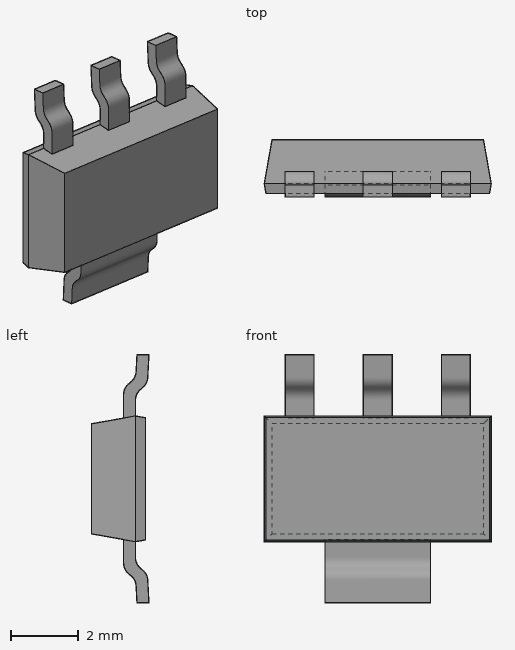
import cadquery as cq
import math

body_width = 6.7
body_height = 3.71
front_depth = 0.29
back_depth = 1.3
draft_angle = 10.0

overall_height = 7.32
strip_thickness = 0.36
strip_root_z = 1.1
bend_start_z = 2.5
bend_slope = 48.0
foot_offset = 0.35
foot_tip_offset = 0.395
bend_radius = 0.39
end_margin = 0.07

lead_width = 0.86
lead_pitch = 2.305
lead_count = 3
tab_width = 3.11


def body_half(depth, direction):
    """Tapered half of the body, growing along +Y (direction 1) or -Y (direction -1)."""
    plane = cq.Plane(origin=(0, 0, 0), xDir=(1, 0, 0), normal=(0, direction, 0))
    return cq.Workplane(plane).rect(body_width, body_height).extrude(depth, taper=draft_angle)


def mitre_offset(angle_below, angle_above):
    """Offset (Y, Z) from a front-face corner to its back-face corner; angles are from vertical."""
    half_turn = (angle_above - angle_below) / 2
    mean_angle = (angle_above + angle_below) / 2
    length = strip_thickness / math.cos(half_turn)
    return length * math.cos(mean_angle), length * math.sin(mean_angle)


def bent_strip(width):
    """Strip rising along +Z and stepping forward to a foot, centred on X = 0."""
    slope = math.radians(bend_slope)
    tip_z = overall_height / 2
    foot_start_z = bend_start_z + foot_offset / math.tan(slope)
    foot_tilt = math.atan2(foot_tip_offset - foot_offset, tip_z - foot_start_z)

    lower_y, lower_z = mitre_offset(0, slope)
    upper_y, upper_z = mitre_offset(slope, foot_tilt)
    outline = [
        (0, strip_root_z),
        (0, bend_start_z),
        (-foot_offset, foot_start_z),
        (-foot_tip_offset, tip_z),
        (-foot_tip_offset + strip_thickness / math.cos(foot_tilt), tip_z),
        (-foot_offset + upper_y, foot_start_z + upper_z),
        (lower_y, bend_start_z + lower_z),
        (strip_thickness, strip_root_z),
    ]
    strip = cq.Workplane("YZ").polyline(outline).close().extrude(width / 2, both=True)
    bends = strip.edges("|X").edges(
        cq.selectors.BoxSelector(
            (-width, -overall_height, strip_root_z + end_margin),
            (width, overall_height, tip_z - end_margin),
        )
    )
    return bends.fillet(bend_radius)


result = body_half(front_depth, -1).union(body_half(back_depth, 1))

for index in range(lead_count):
    lead_x = (index - (lead_count - 1) / 2) * lead_pitch
    result = result.union(bent_strip(lead_width).translate((lead_x, 0, 0)))

result = result.union(bent_strip(tab_width).mirror("XY"))